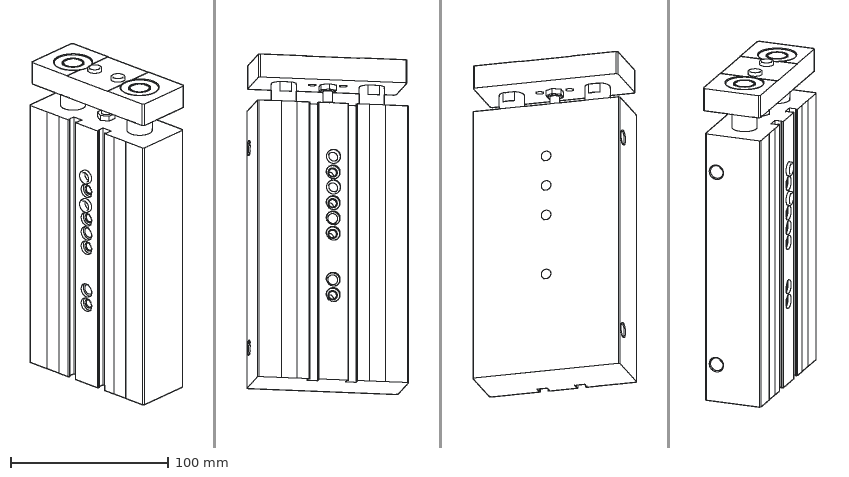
import cadquery as cq
import math

HOUSING_WIDTH = 98.0
HOUSING_DEPTH = 38.0
HOUSING_HEIGHT = 180.0
HOUSING_CHAMFER = 0.8
HOUSING_LEFT = -HOUSING_WIDTH / 2
TOTAL_HEIGHT = 212.0
TOTAL_DEPTH = 41.7
PLATE_BACK = TOTAL_DEPTH / 2
SLEEVE_PROTRUSION = 2.0
HOUSING_FRONT = SLEEVE_PROTRUSION - TOTAL_DEPTH / 2
HOUSING_CENTRE_Y = HOUSING_FRONT + HOUSING_DEPTH / 2

PLATE_WIDTH = 96.2
PLATE_DEPTH = 39.0
PLATE_TOP = TOTAL_HEIGHT - SLEEVE_PROTRUSION
PLATE_THICKNESS = 15.0
PLATE_BOTTOM = PLATE_TOP - PLATE_THICKNESS
PLATE_CHAMFER = 1.0
PLATE_RELIEF_WIDTH = 34.8
PLATE_RELIEF_DEPTH = 0.2
ROD_SEAT_DIAMETER = 25.0
ROD_SEAT_FLOOR_DIAMETER = 24.0
ROD_SEAT_DEPTH = 0.53

ROD_PITCH = 57.0
ROD_OFFSET = ROD_PITCH / 2
ROD_DIAMETER = 16.0
ROD_TIP_DIAMETER = 14.0
ROD_TIP_END_DIAMETER = 12.0
ROD_FLAT_DISTANCE = 14.2
ROD_FLAT_HEIGHT = 6.1
ROD_TOP = PLATE_TOP - ROD_SEAT_DEPTH
PISTON_DIAMETER = 32.0
PISTON_BOTTOM = 26.3
PISTON_LENGTH = 12.7
PISTON_TOP = PISTON_BOTTOM + PISTON_LENGTH

SCREW_DIAMETER = 6.4
HEX_SIDES = 6
HEX_ACROSS_FLATS = 10.0
HEX_DIAMETER = HEX_ACROSS_FLATS / math.cos(math.pi / HEX_SIDES)
HEX_TURN = 180 / HEX_SIDES
LOCK_NUT_HEIGHT = 4.0
LOCK_NUT_CHAMFER = 0.6
SCREW_HEAD_HEIGHT = 3.4

SLEEVE_DIAMETER = 9.0
SLEEVE_BORE = 6.4
SLEEVE_SEAT_DEPTH = 2.1
SLEEVE_HEIGHT = SLEEVE_SEAT_DEPTH + SLEEVE_PROTRUSION
HOLE_PITCH = 10.0

FIRST_HOLE_DISTANCE = 35.0
FIRST_HOLE_Z = HOUSING_HEIGHT - FIRST_HOLE_DISTANCE
THROUGH_HOLE_STEPS = (0, 2, 4, 8)
BLIND_HOLE_STEPS = (1, 3, 5, 9)
SLEEVE_STEPS = (0, 2)
THROUGH_DIAMETER = 6.4
THREAD_DIAMETER = 4.9
THREAD_MOUTH_DIAMETER = 6.0
THREAD_DEPTH = 10.5
DRILL_POINT_ANGLE = math.radians(118)

PORT_END_DISTANCE = 25.0
PORT_Y = 11.2
PORT_DIAMETER = 8.5
PORT_MOUTH_DIAMETER = 9.7
PORT_DEPTH = 15.3

SLOT_OFFSET = 12.5
SLOT_HALF_MOUTH = 2.5
SLOT_MOUTH_CHAMFER = 0.6
SLOT_HALF_WIDTH = 3.4
SLOT_LIP = 1.3
SLOT_DEPTH = 5.7
STRIP_INNER_EDGE = 23.5
STRIP_OUTER_EDGE = 33.7
STRIP_DEPTH = 0.1


def revolved(section):
    """Solid of revolution about Z from the closed section of (radius, height) points."""
    return cq.Workplane("XZ").polyline(section).close().revolve(360, (0, 0), (0, 1))


def drilled_hole(diameter, mouth_diameter, depth):
    """Blind hole going down from the origin, with a 45 degree mouth and a drill point."""
    radius = diameter / 2
    mouth_radius = mouth_diameter / 2
    point_height = radius / math.tan(DRILL_POINT_ANGLE / 2)
    return revolved([
        (0, 0),
        (mouth_radius, 0),
        (radius, radius - mouth_radius),
        (radius, -depth),
        (0, -depth - point_height),
    ])


def cylinder(diameter, bottom, top):
    return cq.Workplane("XY").workplane(offset=bottom).circle(diameter / 2).extrude(top - bottom)


def facing_front(tool, depth_below_face, z):
    """Turns a tool that points up Z so that it points out of the front face at height z."""
    return tool.rotate((0, 0, 0), (1, 0, 0), 90).translate((0, HOUSING_FRONT + depth_below_face, z))


def sensor_slot():
    front = HOUSING_FRONT
    chamfer = SLOT_MOUTH_CHAMFER
    half_profile = [
        (SLOT_HALF_MOUTH + chamfer, front),
        (SLOT_HALF_MOUTH, front + chamfer),
        (SLOT_HALF_MOUTH, front + SLOT_LIP),
        (SLOT_HALF_WIDTH, front + SLOT_LIP),
        (SLOT_HALF_WIDTH, front + SLOT_DEPTH),
    ]
    mirrored = [(-x, y) for x, y in reversed(half_profile)]
    return cq.Workplane("XY").polyline(half_profile + mirrored).close().extrude(HOUSING_HEIGHT)


def front_strip():
    width = STRIP_OUTER_EDGE - STRIP_INNER_EDGE
    return cq.Workplane("XY").box(width, 2 * STRIP_DEPTH, HOUSING_HEIGHT, centered=(True, True, False))


def rod_envelope():
    """Piston and round rod, without flats and tip."""
    return cylinder(PISTON_DIAMETER, PISTON_BOTTOM, PISTON_TOP).union(
        cylinder(ROD_DIAMETER, PISTON_BOTTOM, PLATE_BOTTOM)
    )


def make_housing():
    housing = cq.Workplane("XY").box(
        HOUSING_WIDTH, HOUSING_DEPTH, HOUSING_HEIGHT, centered=(True, True, False)
    )
    housing = housing.edges("|Z").chamfer(HOUSING_CHAMFER).translate((0, HOUSING_CENTRE_Y, 0))

    strip_offset = (STRIP_INNER_EDGE + STRIP_OUTER_EDGE) / 2
    for side in (-1, 1):
        housing = housing.cut(sensor_slot().translate((side * SLOT_OFFSET, 0, 0)))
        housing = housing.cut(front_strip().translate((side * strip_offset, HOUSING_FRONT, 0)))
        housing = housing.cut(rod_envelope().translate((side * ROD_OFFSET, 0, 0)))

    sleeve_seat = cylinder(SLEEVE_DIAMETER, -SLEEVE_SEAT_DEPTH, 0)
    through_hole = sleeve_seat.union(cylinder(THROUGH_DIAMETER, -HOUSING_DEPTH, 0))
    thread = drilled_hole(THREAD_DIAMETER, THREAD_MOUTH_DIAMETER, THREAD_DEPTH)
    blind_hole = sleeve_seat.union(thread.translate((0, 0, -SLEEVE_SEAT_DEPTH)))
    for tool, steps in ((through_hole, THROUGH_HOLE_STEPS), (blind_hole, BLIND_HOLE_STEPS)):
        for step in steps:
            housing = housing.cut(facing_front(tool, 0, FIRST_HOLE_Z - step * HOLE_PITCH))

    port = drilled_hole(PORT_DIAMETER, PORT_MOUTH_DIAMETER, PORT_DEPTH)
    port = port.rotate((0, 0, 0), (0, 1, 0), -90)
    for z in (PORT_END_DISTANCE, HOUSING_HEIGHT - PORT_END_DISTANCE):
        housing = housing.cut(port.translate((HOUSING_LEFT, PORT_Y, z)))
    return housing


def hexagon(bottom, height):
    """Hexagonal prism with one corner pointing to the front."""
    prism = cq.Workplane("XY").polygon(HEX_SIDES, HEX_DIAMETER).extrude(height)
    return prism.rotate((0, 0, 0), (0, 0, 1), HEX_TURN).translate((0, 0, bottom))


def stop_screw():
    """Lock nut against the plate, plain shank and hexagon head resting on the housing."""
    head = hexagon(HOUSING_HEIGHT, SCREW_HEAD_HEIGHT)
    nut = hexagon(PLATE_BOTTOM - LOCK_NUT_HEIGHT, LOCK_NUT_HEIGHT).faces("<Z").chamfer(LOCK_NUT_CHAMFER)
    shank = cylinder(SCREW_DIAMETER, HOUSING_HEIGHT, PLATE_BOTTOM)
    return shank.union(head).union(nut)


def make_yoke_plate():
    plate = (
        cq.Workplane("XY")
        .box(PLATE_WIDTH, PLATE_DEPTH, PLATE_THICKNESS, centered=(True, True, False))
        .edges("|Z")
        .chamfer(PLATE_CHAMFER)
        .translate((0, PLATE_BACK - PLATE_DEPTH / 2, PLATE_BOTTOM))
    )
    relief = cq.Workplane("XY").box(PLATE_RELIEF_WIDTH, 2 * PLATE_DEPTH, 2 * PLATE_RELIEF_DEPTH)
    plate = plate.cut(relief.translate((0, 0, PLATE_TOP)))

    rod_seat = revolved([
        (0, ROD_TOP),
        (ROD_SEAT_FLOOR_DIAMETER / 2, ROD_TOP),
        (ROD_SEAT_DIAMETER / 2, PLATE_TOP),
        (0, PLATE_TOP),
    ])
    rod_hole = cylinder(ROD_TIP_DIAMETER, PLATE_BOTTOM, PLATE_TOP)
    sleeve_hole = cylinder(SLEEVE_DIAMETER, PLATE_TOP - SLEEVE_SEAT_DEPTH, PLATE_TOP).union(
        cylinder(THREAD_DIAMETER, PLATE_BOTTOM, PLATE_TOP)
    )
    for side in (-1, 1):
        plate = plate.cut(rod_seat.union(rod_hole).translate((side * ROD_OFFSET, 0, 0)))
        plate = plate.cut(sleeve_hole.translate((side * HOLE_PITCH, 0, 0)))
    return plate.union(stop_screw())


def make_piston_rod():
    rod = rod_envelope()
    flats = cq.Workplane("XY").box(
        ROD_DIAMETER, ROD_FLAT_DISTANCE, ROD_FLAT_HEIGHT, centered=(True, True, False)
    )
    flat_zone = cylinder(2 * ROD_DIAMETER, 0, ROD_FLAT_HEIGHT).cut(flats)
    rod = rod.cut(flat_zone.translate((0, 0, PLATE_BOTTOM - ROD_FLAT_HEIGHT)))
    tip_chamfer = (ROD_TIP_DIAMETER - ROD_TIP_END_DIAMETER) / 2
    tip = cylinder(ROD_TIP_DIAMETER, PLATE_BOTTOM, ROD_TOP).faces(">Z").chamfer(tip_chamfer)
    return rod.union(tip)


def make_sleeve():
    """Centring sleeve standing on the origin, with a half-round rim at its free end."""
    inner = SLEEVE_BORE / 2
    outer = SLEEVE_DIAMETER / 2
    rim_start = SLEEVE_HEIGHT - (outer - inner) / 2
    return (
        cq.Workplane("XZ")
        .moveTo(inner, 0)
        .lineTo(outer, 0)
        .lineTo(outer, rim_start)
        .threePointArc(((inner + outer) / 2, SLEEVE_HEIGHT), (inner, rim_start))
        .close()
        .revolve(360, (0, 0), (0, 1))
    )


housing = make_housing()
yoke_plate = make_yoke_plate()
piston_rods = [make_piston_rod().translate((side * ROD_OFFSET, 0, 0)) for side in (-1, 1)]
plate_sleeves = [
    make_sleeve().translate((side * HOLE_PITCH, 0, PLATE_TOP - SLEEVE_SEAT_DEPTH)) for side in (-1, 1)
]
housing_sleeves = [
    facing_front(make_sleeve(), SLEEVE_SEAT_DEPTH, FIRST_HOLE_Z - step * HOLE_PITCH)
    for step in SLEEVE_STEPS
]

bodies = [housing, yoke_plate, *piston_rods, *plate_sleeves, *housing_sleeves]
result = cq.Compound.makeCompound([body.val() for body in bodies])